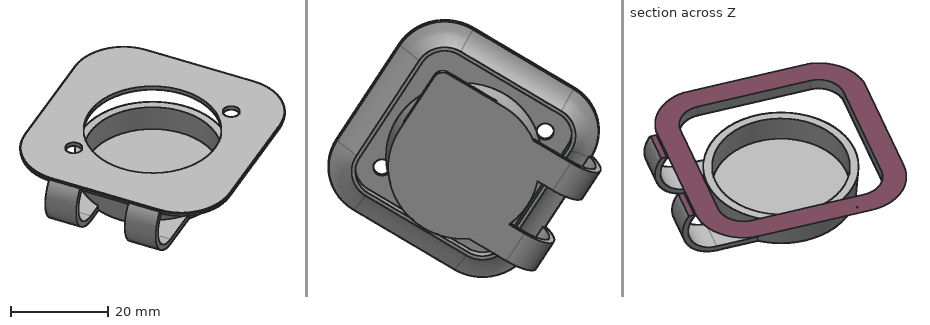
import cadquery as cq

height = 12.6
sheet = 1.2

lid_half = 23.295
core_half = 12.2
lid_depth = 3.5
lid_top_thickness = 1.0
top_edge_inset = 0.2
top_edge_drop = 0.2
rim_foot_inset = 0.2
rim_depth = 0.95
skirt_mid_half = 20.25
skirt_mid_depth = 1.95
skirt_foot_half = 18.45
skirt_wall = 0.8
opening_radius = 14.2
small_hole_radius = 1.75

cup_height = 7.05
cup_top_radius = 16.0
cup_base_radius = 15.5
cup_bore_radius = opening_radius

strap_width = 7.05
strap_center_x = 9.05
strap_reach = 25.495
bend_radius = 7.35
strap_end_y = -9.15

tab_corner_radius = 2.05


def edge_profile(plane, origin):
    """Half section of the lid from a core corner outward."""
    lid_radius = lid_half - core_half
    rim_foot = lid_radius - rim_foot_inset
    skirt_mid = (skirt_mid_half - core_half, height - skirt_mid_depth)
    skirt_foot = (skirt_foot_half - core_half, height - lid_depth)
    return (
        cq.Workplane(plane, origin=origin)
        .moveTo(0, height)
        .lineTo(lid_radius - top_edge_inset, height)
        .lineTo(lid_radius, height - top_edge_drop)
        .lineTo(rim_foot, height - rim_depth)
        .threePointArc(skirt_mid, skirt_foot)
        .lineTo(0, height - lid_depth)
        .close()
    )


def make_lid():
    core_side = 2 * core_half
    lid = (
        cq.Workplane("XY", origin=(0, 0, height - lid_depth))
        .rect(core_side, core_side)
        .extrude(lid_depth)
    )
    corner = edge_profile("XZ", (core_half, core_half, 0)).revolve(360, (0, 0), (0, 1))
    side = edge_profile("XZ", (core_half, core_half, 0)).extrude(core_side)
    for turn in range(4):
        for piece in (side, corner):
            lid = lid.union(piece.rotate((0, 0, 0), (0, 0, 1), 90 * turn))

    pocket_half = skirt_foot_half - skirt_wall
    pocket = (
        cq.Workplane("XY", origin=(0, 0, height - lid_depth))
        .rect(2 * pocket_half, 2 * pocket_half)
        .extrude(lid_depth - lid_top_thickness)
        .edges("|Z")
        .fillet(pocket_half - core_half)
    )
    opening = cq.Workplane("XY").circle(opening_radius).extrude(height)
    small_holes = (
        cq.Workplane("XY")
        .pushPoints([(core_half, core_half), (-core_half, -core_half)])
        .circle(small_hole_radius)
        .extrude(height)
    )
    return lid.cut(pocket).cut(opening).cut(small_holes)


def make_strap(center_x):
    """Strip running from the cup floor around the bend to the lid edge."""
    bend_y = bend_radius - strap_reach
    inner_radius = bend_radius - sheet
    ring = (
        cq.Workplane("YZ", origin=(center_x, 0, 0))
        .center(bend_y, bend_radius)
        .circle(bend_radius)
        .circle(inner_radius)
        .extrude(strap_width / 2, both=True)
    )
    rim_y = -lid_half + rim_foot_inset
    strap_top = height - top_edge_drop
    skirt_y = -skirt_mid_half
    keep = (
        cq.Workplane("YZ", origin=(center_x, 0, 0))
        .moveTo(bend_y, 0)
        .lineTo(-strap_reach, 0)
        .lineTo(-strap_reach, strap_top)
        .lineTo(rim_y, strap_top)
        .lineTo(rim_y, height - rim_depth)
        .lineTo(skirt_y, height - skirt_mid_depth)
        .lineTo(bend_y, bend_radius)
        .close()
        .extrude(strap_width / 2, both=True)
    )
    foot = cq.Workplane("XY").box(
        strap_width, strap_end_y - bend_y, sheet, centered=(True, False, False)
    ).translate((center_x, bend_y, 0))
    return ring.intersect(keep).union(foot)


def make_cup_body():
    return (
        cq.Workplane("XY")
        .circle(cup_base_radius)
        .workplane(offset=cup_height)
        .circle(cup_top_radius)
        .loft(ruled=True)
    )


def make_tab():
    """Square grip tab filling one quarter around the round cup base."""
    return (
        cq.Workplane("XY")
        .box(cup_base_radius, cup_base_radius, sheet, centered=False)
        .translate((-cup_base_radius, 0, 0))
        .edges("|Z and <X and >Y")
        .fillet(tab_corner_radius)
    )


cup_body = make_cup_body()
cup_bore = cq.Workplane("XY", origin=(0, 0, sheet)).circle(cup_bore_radius).extrude(cup_height)

base = cup_body.union(make_tab())
for strap_x in (-strap_center_x, strap_center_x):
    base = base.union(make_strap(strap_x))

result = base.cut(cup_bore.intersect(cup_body)).union(make_lid())